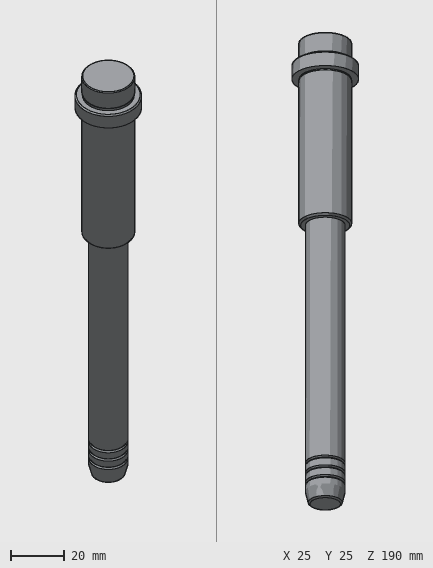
import cadquery as cq

total_length = 190.0
collar_diameter = 25.0
body_diameter = 20.0
shank_diameter = 15.0
tip_diameter = 12.5

head_height = 9.0
collar_height = 6.0
body_length = 60.2
tip_length = 5.0
collar_top = total_length - head_height
collar_bottom = collar_top - collar_height
body_bottom = collar_bottom - body_length

head_chamfer = 0.4
collar_chamfer = 0.5
body_chamfer = 0.8
tip_chamfer = 0.5

head_relief_width = 1.1
body_relief_width = 0.5
relief_depth = 0.2

groove_count = 3
groove_pitch = 4.0
groove_width = 1.1
groove_depth = 0.5
lowest_groove_z = 8.2


def cylinder(diameter, bottom, top):
    return cq.Workplane("XY").workplane(offset=bottom).circle(diameter / 2).extrude(top - bottom)


def ring_cut(diameter, depth, bottom, width):
    """Ring that removes the given depth from a cylinder of the given diameter."""
    return cylinder(diameter, bottom, bottom + width).cut(
        cylinder(diameter - 2 * depth, bottom, bottom + width)
    )


def v_groove(middle_z):
    """Triangular ring that cuts a V-shaped groove around the shank."""
    radius = shank_diameter / 2
    half_width = groove_width / 2
    return (
        cq.Workplane("XZ")
        .moveTo(radius, middle_z - half_width)
        .lineTo(radius - groove_depth, middle_z)
        .lineTo(radius, middle_z + half_width)
        .close()
        .revolve(360, (0, 0, 0), (0, 1, 0))
    )


head = cylinder(body_diameter, collar_top, total_length).faces(">Z").chamfer(head_chamfer)
head = head.cut(ring_cut(body_diameter, relief_depth, collar_top, head_relief_width))

collar = cylinder(collar_diameter, collar_bottom, collar_top).faces(">Z").chamfer(collar_chamfer)
body = cylinder(body_diameter, body_bottom, collar_bottom).faces("<Z").chamfer(body_chamfer)
body_relief_bottom = collar_bottom - body_relief_width
body = body.cut(ring_cut(body_diameter, relief_depth, body_relief_bottom, body_relief_width))

shank = cylinder(shank_diameter, tip_length, body_bottom)
for index in range(groove_count):
    shank = shank.cut(v_groove(lowest_groove_z + index * groove_pitch))

tip = (
    cq.Workplane("XY")
    .circle(tip_diameter / 2)
    .workplane(offset=tip_length)
    .circle(shank_diameter / 2)
    .loft()
    .faces("<Z")
    .chamfer(tip_chamfer)
)

result = head.union(collar).union(body).union(shank).union(tip)